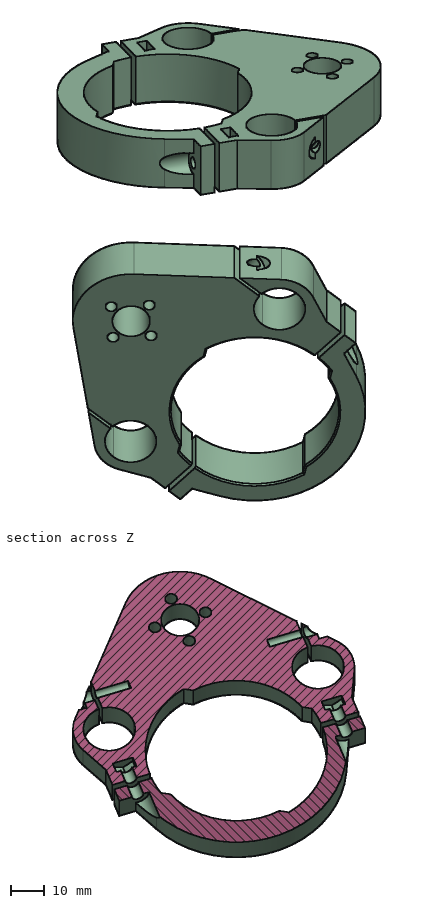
import cadquery as cq
import math


overall_length = 100.2
thickness = 16.0
mid_z = thickness / 2
gap = 1.5
sides = (-1, 1)

bore_radius = 25.0
relief_radius = 27.1
relief_band = 37.7
relief_angle = -30.0
bore_chamfer = 0.5

ring_radius = 33.0
lobe_x = 33.1
lobe_y = 20.0
lobe_radius = 10.9
motor_y = 49.8
motor_lobe_radius = overall_length - ring_radius - motor_y
outline_top = motor_y + motor_lobe_radius
outline_side = lobe_x + lobe_radius

rod_hole_diameter = 15.3
motor_hole_diameter = 11.2
motor_screw_diameter = 3.4
motor_screw_circle_radius = 8.0
motor_screw_count = 4

tab_width = 77.9
tab_bottom = -5.3
tab_top = lobe_y - lobe_radius
screw_diameter = 3.5
screw_head_diameter = 7.0
nut_flats = 6.2
nut_thickness = 3.1
nut_y = 6.4

slit_width = 1.0
pinch_y = 33.1
pinch_seat_x = 36.9
pinch_tap_diameter = 2.5
pinch_tap_end_x = 22.0


def belt_normal(start, start_radius, end, end_radius):
    """Outward unit normal of the line touching two circles, on the left going from start to end."""
    dx = end[0] - start[0]
    dy = end[1] - start[1]
    angle = math.atan2(dy, dx) + math.acos((start_radius - end_radius) / math.hypot(dx, dy))
    return math.cos(angle), math.sin(angle)


def on_circle(center, radius, normal):
    return center[0] + radius * normal[0], center[1] + radius * normal[1]


def mirrored(point):
    return -point[0], point[1]


def plate_outline():
    """Belt around the circles, with the tab block added."""
    ring = (0.0, 0.0)
    lobe = (lobe_x, lobe_y)
    motor = (0.0, motor_y)
    upper = belt_normal(motor, motor_lobe_radius, lobe, lobe_radius)
    lower = belt_normal(lobe, lobe_radius, ring, ring_radius)

    motor_end = on_circle(motor, motor_lobe_radius, upper)
    lobe_start = on_circle(lobe, lobe_radius, upper)
    lobe_side = on_circle(lobe, lobe_radius, (1, 0))
    lobe_end = on_circle(lobe, lobe_radius, lower)
    ring_start = on_circle(ring, ring_radius, lower)

    belt = (
        cq.Workplane("XY")
        .moveTo(*motor_end)
        .lineTo(*lobe_start)
        .threePointArc(lobe_side, lobe_end)
        .lineTo(*ring_start)
        .threePointArc((0, -ring_radius), mirrored(ring_start))
        .lineTo(*mirrored(lobe_end))
        .threePointArc(mirrored(lobe_side), mirrored(lobe_start))
        .lineTo(*mirrored(motor_end))
        .threePointArc((0, outline_top), motor_end)
        .close()
        .extrude(thickness)
    )
    tabs = block(-tab_width / 2, tab_width / 2, tab_bottom, tab_top)
    return belt.union(tabs)


def block(x_min, x_max, y_min, y_max):
    """Block through the full thickness."""
    return cq.Workplane("XY").box(
        x_max - x_min, y_max - y_min, thickness, centered=False
    ).translate((x_min, y_min, 0))


def bar_along_y(diameter, x, y_start, y_end):
    """Round bar at mid thickness, parallel to Y."""
    return cq.Workplane(
        cq.Solid.makeCylinder(diameter / 2, y_end - y_start, cq.Vector(x, y_start, mid_z), cq.Vector(0, 1, 0))
    )


def bar_along_x(diameter, side, x_start, x_end):
    """Round bar at the height of the pinch screw, parallel to X, on one side of the part."""
    start = cq.Vector(side * x_start, pinch_y, mid_z)
    return cq.Workplane(
        cq.Solid.makeCylinder(diameter / 2, x_end - x_start, start, cq.Vector(side, 0, 0))
    )


def bore():
    band = (
        cq.Workplane("XY")
        .rect(2 * relief_radius, relief_band)
        .extrude(thickness)
        .rotate((0, 0, 0), (0, 0, 1), relief_angle)
    )
    relief = cq.Workplane("XY").circle(relief_radius).extrude(thickness).intersect(band)
    return cq.Workplane("XY").circle(bore_radius).extrude(thickness).union(relief)


def make_bored_blank():
    """Both halves in one piece, with the lower bore edge chamfered."""
    blank = plate_outline().cut(bore())
    bore_edge = blank.faces("<Z").val().innerWires()[0]
    return blank.newObject(bore_edge.Edges()).chamfer(bore_chamfer)


def nut_pocket(x):
    """Hexagon standing on a corner, open to the top face."""
    pocket_start = nut_y - nut_thickness / 2
    corner_diameter = nut_flats / math.cos(math.radians(30))
    hexagon = (
        cq.Workplane("XZ", origin=(x, pocket_start, mid_z))
        .transformed(rotate=(0, 0, 30))
        .polygon(6, corner_diameter)
        .extrude(-nut_thickness)
    )
    shaft = cq.Workplane("XY").box(
        nut_flats, nut_thickness, mid_z, centered=(True, False, False)
    ).translate((x, pocket_start, mid_z))
    return hexagon.union(shaft)


def pinch_screw_hole(side):
    """Head recess and clearance hole in the outer ear, tapped hole beyond the slit."""
    head = bar_along_x(screw_head_diameter, side, pinch_seat_x, outline_side)
    clearance = bar_along_x(screw_diameter, side, lobe_x, outline_side)
    tap = bar_along_x(pinch_tap_diameter, side, pinch_tap_end_x, lobe_x)
    return head.union(clearance).union(tap)


def motor_holes():
    center_hole = cq.Workplane("XY").center(0, motor_y).circle(motor_hole_diameter / 2).extrude(thickness)
    screw_holes = (
        cq.Workplane("XY")
        .center(0, motor_y)
        .polarArray(motor_screw_circle_radius, 0, 360, motor_screw_count)
        .circle(motor_screw_diameter / 2)
        .extrude(thickness)
    )
    return center_hole.union(screw_holes)


def make_mounting_plate(blank):
    plate = blank.intersect(block(-outline_side, outline_side, gap / 2, outline_top))
    plate = plate.cut(motor_holes())
    for side in sides:
        x = side * lobe_x
        rod_hole = cq.Workplane("XY").center(x, lobe_y).circle(rod_hole_diameter / 2).extrude(thickness)
        slit = block(x - slit_width / 2, x + slit_width / 2, lobe_y, outline_top)
        tab_screw_hole = bar_along_y(screw_diameter, x, 0, nut_y)
        plate = plate.cut(rod_hole).cut(slit)
        plate = plate.cut(tab_screw_hole).cut(nut_pocket(x))
        plate = plate.cut(pinch_screw_hole(side))
    return plate


def make_clamp_half(blank):
    clamp = blank.intersect(block(-tab_width / 2, tab_width / 2, -ring_radius, -gap / 2))
    for side in sides:
        x = side * lobe_x
        tab_screw_hole = bar_along_y(screw_diameter, x, tab_bottom, 0)
        head_clearance = bar_along_y(screw_head_diameter, x, -ring_radius, tab_bottom)
        clamp = clamp.cut(tab_screw_hole).cut(head_clearance)
    return clamp


bored_blank = make_bored_blank()
mounting_plate = make_mounting_plate(bored_blank)
clamp_half = make_clamp_half(bored_blank)

result = cq.Compound.makeCompound([mounting_plate.val(), clamp_half.val()])